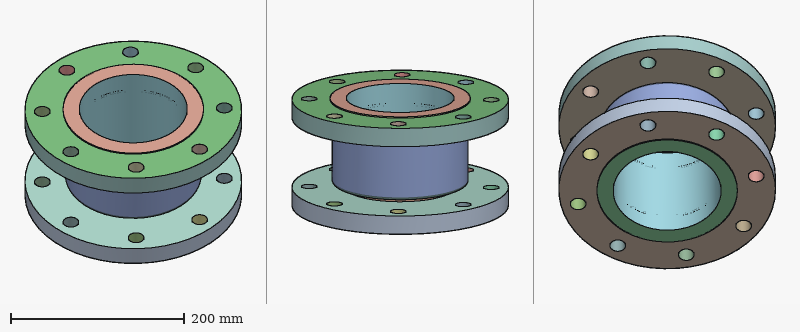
import cadquery as cq

flange_diameter = 250.0
total_height = 130.0
bore_diameter = 124.5

flange_thickness = 22.0
raised_face_diameter = 162.0
raised_face_height = 1.5

bolt_count = 8
bolt_circle_diameter = 210.0
bolt_hole_diameter = 18.0
first_bolt_angle = 180.0 / bolt_count

body_diameter = 157.0
body_height = 71.5
neck_diameter = 127.5
fillet_radius = 3.0

half_height = total_height / 2
flange_outer_z = half_height - raised_face_height
flange_inner_z = flange_outer_z - flange_thickness


def disc(diameter, bottom_z, top_z):
    """Solid cylinder on the Z axis between two heights."""
    return cq.Workplane("XY").workplane(offset=bottom_z).circle(diameter / 2).extrude(top_z - bottom_z)


def make_core():
    """Revolved neck and body, with rounded body rims and filleted neck roots."""
    neck_radius = neck_diameter / 2
    body_radius = body_diameter / 2
    body_top_z = body_height / 2
    profile = (
        cq.Workplane("XZ")
        .moveTo(0, -flange_outer_z)
        .lineTo(neck_radius, -flange_outer_z)
        .lineTo(neck_radius, -body_top_z - fillet_radius)
        .tangentArcPoint((fillet_radius, fillet_radius))
        .lineTo(body_radius - fillet_radius, -body_top_z)
        .tangentArcPoint((fillet_radius, fillet_radius))
        .lineTo(body_radius, body_top_z - fillet_radius)
        .tangentArcPoint((-fillet_radius, fillet_radius))
        .lineTo(neck_radius + fillet_radius, body_top_z)
        .tangentArcPoint((-fillet_radius, fillet_radius))
        .lineTo(neck_radius, flange_outer_z)
        .lineTo(0, flange_outer_z)
        .close()
    )
    return profile.revolve(360, (0, 0, 0), (0, 1, 0))


def make_top_flange():
    """Upper flange with its raised sealing face and bolt holes."""
    flange = disc(flange_diameter, flange_inner_z, flange_outer_z)
    raised_face = disc(raised_face_diameter, flange_outer_z, half_height)
    bolt_holes = (
        cq.Workplane("XY")
        .workplane(offset=flange_inner_z)
        .polarArray(bolt_circle_diameter / 2, first_bolt_angle, 360, bolt_count)
        .circle(bolt_hole_diameter / 2)
        .extrude(flange_thickness)
    )
    return flange.union(raised_face).cut(bolt_holes)


top_flange = make_top_flange()
bottom_flange = top_flange.mirror("XY")
bore = disc(bore_diameter, -half_height, half_height)

result = make_core().union(top_flange).union(bottom_flange).cut(bore).solids()